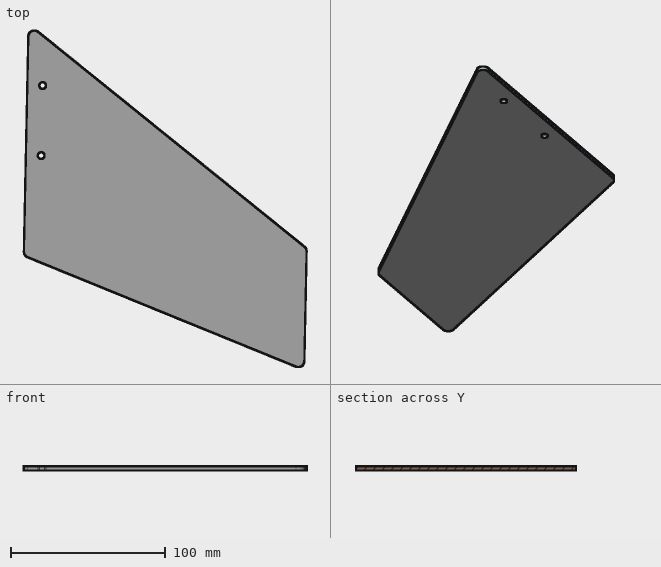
import cadquery as cq
import math

thickness = 3.0
span = 183.0
root_length = 150.0
lower_sweep_angle = 21.0
upper_sweep_angle = 37.72
corner_radius = 4.0

hole_diameter = 4.2
hole_inset = 10.0
first_hole_height = 65.0
hole_spacing = 45.3
hole_count = 2

plate_tilt = 1.18


def fall_across_span(sweep_angle):
    """Drop in Y of a swept edge between the root and the tip."""
    return span * math.tan(math.radians(sweep_angle))


def make_plate():
    """Flat four-sided plate with rounded corners."""
    corners = [
        (0, 0),
        (span, -fall_across_span(lower_sweep_angle)),
        (span, root_length - fall_across_span(upper_sweep_angle)),
        (0, root_length),
    ]
    plate = cq.Workplane("XY").polyline(corners).close().extrude(thickness)
    return plate.edges("|Z").fillet(corner_radius)


def make_hole_cutters():
    """Cylinders for the through holes along the root edge."""
    centers = [(hole_inset, first_hole_height + i * hole_spacing) for i in range(hole_count)]
    return cq.Workplane("XY").pushPoints(centers).circle(hole_diameter / 2).extrude(thickness)


plate = make_plate().cut(make_hole_cutters())
result = plate.rotate((0, 0, 0), (0, 0, 1), -plate_tilt)